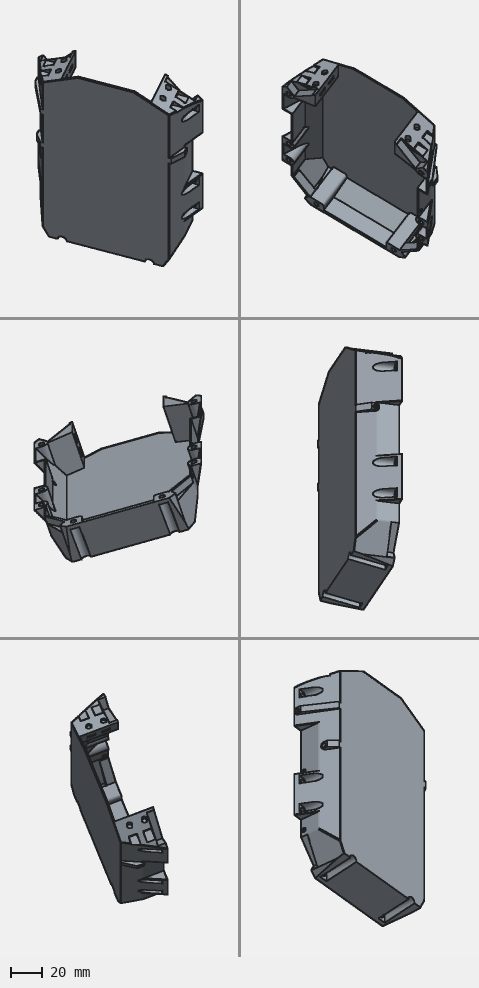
import cadquery as cq
import math

height = 154.9
depth = 27.0
half_width = 109.8 / 2
wall = 1.0

side_foot = 42.3
side_slope = (half_width - side_foot) / depth
edge_bevel = 0.5

top_half_width = 18.7
roof_slope = 0.53
shoulder_x = 49.5
shoulder_z = height - roof_slope * (shoulder_x - top_half_width)
side_top_z = 134.0
waist = 48.2
corner_top_z = 23.7
corner_low_x = 37.8
corner_low_z = 3.9
base_half_width = 33.8
base_front_z = 5.0

recess_spans = [(68.5, 104.9), (0.0, 36.9)]

terminal_inner_x = 29.9
terminal_foot_z = 125.5
bore_diameter = 3.5
bore_x = 34.9
bore_ys = [9.1, 19.0]
window_ys = [9.0, 18.7]
window_width = 5.5
window_outer_x = 47.5
window_inner_x = 40.9
slot_height = 2.5

notch_depth = 5.1
roof_notch_inner_x = 31.8
roof_notch_outer_x = 51.6
roof_notch_outer_z = 137.5
roof_notch_bottom = (45.9, 130.5)
corner_notch = [
    (waist, corner_top_z),
    (35.3, 8.5),
    (38.4, 3.3),
    (half_width, 3.3),
    (half_width, corner_top_z),
]

screw_diameter = 3.5
seat_radius = 6.0 / 2
seat_floor = 3.0
side_screw_x = 50.0
side_screw_zs = [129.3, 63.5, 41.8]
base_screw_x = 29.1
base_screw_z = 5.0
base_block_inner_x = 23.5
base_block_top = 9.8
base_block_rounding = 1.9

ledge_width = 11.2
ledge_top = 3.1

guides = [(-1, half_width, 24.5, 115.5), (-1, 48.2, 8.4, 85.8), (1, 49.4, 11.3, 101.5)]
guide_radius = 4.8 / 2
guide_flat = 2.8
guide_foot_x = 43.5
guide_bore = 3.0
guide_bore_depth = 9.3

pin_holes = [(73.1, 2.5), (28.0, 3.0)]
pin_y = 24.5


def prism_y(sketch, start, end):
    """Extrude an XZ sketch from Y = start to Y = end."""
    return sketch.extrude(start - end).translate((0, start, 0))


def polygon_y(points, start, end):
    return prism_y(cq.Workplane("XZ").polyline(points).close(), start, end)


def block(x_span, y_span, z_span):
    size = [high - low for low, high in (x_span, y_span, z_span)]
    corner = (x_span[0], y_span[0], z_span[0])
    return cq.Workplane("XY").box(*size, centered=False).translate(corner)


def both_sides(shape):
    return shape.union(shape.mirror("YZ"))


def front_outline():
    return (
        cq.Workplane("XZ")
        .moveTo(0, height)
        .lineTo(top_half_width, height)
        .lineTo(shoulder_x, shoulder_z)
        .tangentArcPoint((half_width, side_top_z), relative=False)
        .lineTo(half_width, corner_top_z)
        .lineTo(waist, corner_top_z)
        .lineTo(corner_low_x, corner_low_z)
        .lineTo(base_half_width, 0)
        .lineTo(0, 0)
        .mirrorY()
    )


def recesses(inset):
    """Cutters for the side recesses, enlarged all round by inset."""
    cutters = cq.Workplane("XY")
    for low, high in recess_spans:
        recess = block((waist - inset, half_width), (0, depth), (low - inset, high + inset))
        cutters = cutters.add(both_sides(recess))
    return cutters.combine()


def envelope(inset):
    """Outer form of the shell without recesses, with every wall moved inwards by inset."""
    shift = inset * math.hypot(1, side_slope)
    foot = side_foot - shift
    back = half_width - shift
    section = [(foot, 0), (back, depth), (-back, depth), (-foot, 0)]
    form = cq.Workplane("XY").polyline(section).close().extrude(height)
    outline = front_outline()
    if inset:
        outline = outline.offset2D(-inset, "intersection")
    form = form.intersect(prism_y(outline, inset, depth))
    base_lift = inset * math.hypot(1, base_front_z / depth)
    profile = [
        (0, base_front_z + base_lift),
        (depth, base_lift),
        (depth, height),
        (0, height),
    ]
    return form.intersect(
        cq.Workplane("YZ").polyline(profile).close().extrude(half_width, both=True)
    )


def outer_form():
    """Outside of the shell, bevelled round its front face, side walls and lower corners."""
    form = envelope(0).cut(recesses(0))
    bevelled = form.faces("<Y").edges("not (<Z or |Z)")
    for side in (-1, 1):
        wall_normal = cq.Vector(side, -side_slope, 0)
        side_wall = form.faces(cq.selectors.ParallelDirSelector(wall_normal))
        bevelled = bevelled.add(side_wall.edges("not >Y"))
        corner = cq.selectors.NearestToPointSelector((side * waist, depth, corner_top_z))
        bevelled = bevelled.add(form.edges("|Y").edges(corner))
    return bevelled.chamfer(edge_bevel)


def seat_sketch(x, z, radius, reach):
    """U-shaped outline round (x, z), open towards +X."""
    return (
        cq.Workplane("XZ")
        .moveTo(x + reach, z - radius)
        .lineTo(x, z - radius)
        .threePointArc((x - radius, z), (x, z + radius))
        .lineTo(x + reach, z + radius)
        .close()
    )


def terminal_blocks():
    points = [
        (terminal_inner_x, height),
        (terminal_inner_x, side_top_z),
        (half_width, terminal_foot_z),
        (half_width, height),
    ]
    return both_sides(polygon_y(points, 0, depth))


def corner_blocks():
    points = [
        (waist, corner_top_z),
        (waist - 2 * wall, corner_top_z),
        (base_half_width, base_block_top),
        (base_half_width, 0),
        (waist, 0),
    ]
    return both_sides(polygon_y(points, depth - notch_depth - wall, depth))


def base_blocks():
    screw_block = block((base_block_inner_x, base_half_width), (0, depth), (0, base_block_top))
    screw_block = screw_block.edges("|Y and >Z and <X").fillet(base_block_rounding)
    ledge = block((-base_screw_x, base_screw_x), (depth - ledge_width, depth), (0, ledge_top))
    return both_sides(screw_block).union(ledge)


def side_bosses():
    bosses = cq.Workplane("XY")
    for z in side_screw_zs:
        boss = seat_sketch(side_screw_x, z, seat_radius + wall, half_width - side_screw_x)
        bosses = bosses.add(both_sides(prism_y(boss, 0, depth)))
    return bosses.combine()


def screw_seats():
    """Seats open to the front, with a through hole in each floor."""
    seats = cq.Workplane("XY")
    floor_y = depth - seat_floor
    for z in side_screw_zs:
        seat = seat_sketch(side_screw_x, z, seat_radius, half_width - side_screw_x)
        seats = seats.add(both_sides(prism_y(seat, 0, floor_y)))
    upright = seat_sketch(0, 0, seat_radius, base_screw_z)
    base_seat = prism_y(upright, 0, floor_y).rotate((0, 0, 0), (0, 1, 0), 90)
    seats = seats.add(both_sides(base_seat.translate((base_screw_x, 0, base_screw_z))))
    centres = [(side_screw_x, z) for z in side_screw_zs]
    centres.append((base_screw_x, base_screw_z))
    holes = cq.Workplane("XZ").pushPoints(centres).circle(screw_diameter / 2)
    return seats.add(both_sides(prism_y(holes, 0, depth))).combine()


def roof_point(x, thickness=0):
    """Point on the roof at x, or sunk below it by thickness, square to the surface."""
    unit = math.hypot(1, roof_slope)
    surface_z = height - roof_slope * (x - top_half_width)
    return (x - thickness * roof_slope / unit, surface_z - thickness / unit)


def roof_window(y):
    """Opening square through the roof sheet, leading to a slot across the whole width."""
    low, high = y - window_width / 2, y + window_width / 2
    points = [
        roof_point(window_inner_x),
        roof_point(window_inner_x, wall),
        roof_point(window_outer_x),
    ]
    floor_z = roof_point(window_outer_x)[1]
    slot = block((-half_width, half_width), (low, high), (floor_z, floor_z + slot_height))
    return both_sides(polygon_y(points, low, high)).union(slot)


def roof_openings():
    """Roof windows, and upright screw bores that end in the slots behind them."""
    floor_z = roof_point(window_outer_x)[1]
    openings = cq.Workplane("XY")
    for y in bore_ys:
        bore = cq.Workplane("XY", origin=(bore_x, y, floor_z)).circle(bore_diameter / 2)
        openings = openings.add(both_sides(bore.extrude(height - floor_z)))
    for y in window_ys:
        openings = openings.add(roof_window(y))
    return openings.combine()


def roof_notch():
    """V-shaped outline whose inner end starts square to the roof."""
    return [
        (roof_notch_inner_x, height),
        roof_point(roof_notch_inner_x),
        roof_point(roof_notch_inner_x, wall),
        roof_notch_bottom,
        (roof_notch_outer_x, roof_notch_outer_z),
        (roof_notch_outer_x, height),
    ]


def guide(side, tip_x, y, z):
    """Round-ended rib running from the front plate to a flat tip that holds a cable bore."""
    rib = (
        cq.Workplane("YZ")
        .moveTo(0, z - guide_radius)
        .lineTo(y, z - guide_radius)
        .threePointArc((y + guide_radius, z), (y, z + guide_radius))
        .lineTo(0, z + guide_radius)
        .close()
        .extrude(half_width)
    )
    profile = [
        (side_foot - wall, 0),
        (guide_foot_x, 0),
        (tip_x, y - guide_flat),
        (tip_x, depth),
        (half_width - wall, depth),
    ]
    rib = rib.intersect(cq.Workplane("XY").polyline(profile).close().extrude(height))
    return rib if side > 0 else rib.mirror("YZ")


def bore_x_axis(side, tip_x, y, z, diameter, length):
    """Hole drilled inwards along X from the given side of the part."""
    start = cq.Vector(side * tip_x, y, z)
    return cq.Workplane(cq.Solid.makeCylinder(diameter / 2, length, start, cq.Vector(-side, 0, 0)))


outer = outer_form()
inner_blocks = terminal_blocks().union(corner_blocks()).union(base_blocks()).union(side_bosses())
top_gap = block((-terminal_inner_x, terminal_inner_x), (wall, depth), (side_top_z, height))
result = outer.cut(envelope(wall).cut(recesses(wall))).union(outer.intersect(inner_blocks)).cut(top_gap)

result = result.cut(screw_seats()).cut(roof_openings())
for notch in (roof_notch(), corner_notch):
    result = result.cut(both_sides(polygon_y(notch, depth - notch_depth, depth)))

for side, tip_x, y, z in guides:
    result = result.union(guide(side, tip_x, y, z))
for side, tip_x, y, z in guides:
    result = result.cut(bore_x_axis(side, tip_x, y, z, guide_bore, guide_bore_depth))

for z, diameter in pin_holes:
    result = result.cut(bore_x_axis(-1, waist, pin_y, z, diameter, 2 * wall))